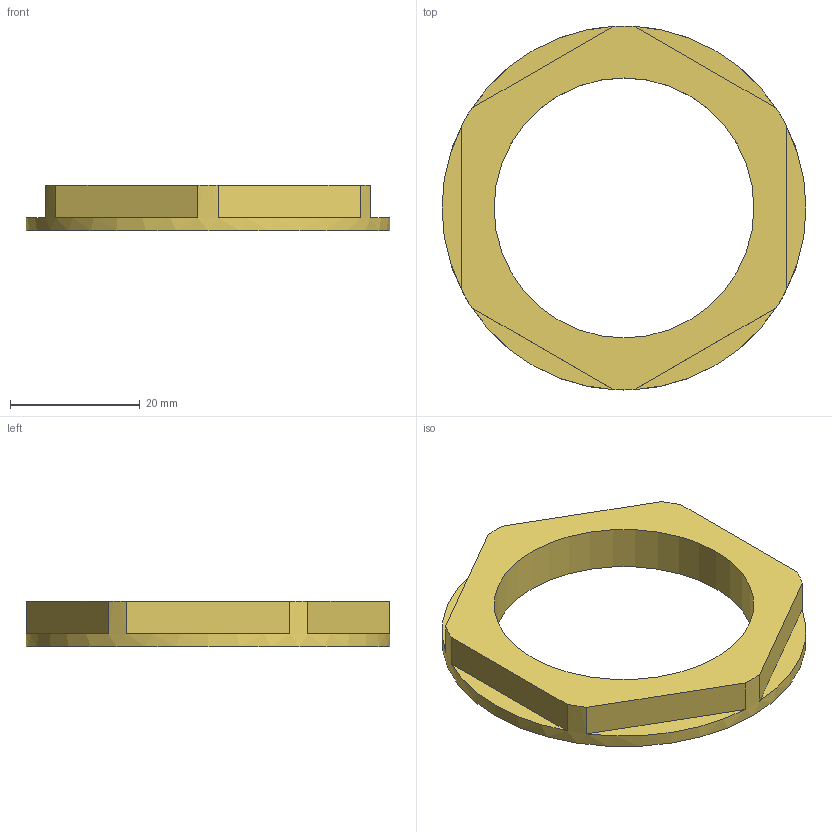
import cadquery as cq

OUTER_DIAMETER = 56.0
BORE_DIAMETER = 40.0
ACROSS_FLATS = 50.0
FLANGE_THICKNESS = 2.0
HEX_HEIGHT = 5.0

HEX_SIDES = 6
FLAT_ANGLE = 360.0 / HEX_SIDES
TOTAL_HEIGHT = FLANGE_THICKNESS + HEX_HEIGHT


def ring_blank():
    """Full-height round ring standing on the XY plane."""
    return (
        cq.Workplane("XY")
        .circle(OUTER_DIAMETER / 2)
        .circle(BORE_DIAMETER / 2)
        .extrude(TOTAL_HEIGHT)
    )


def flat_cutter(angle):
    """Block that removes the round segment outside one wrench flat, above the flange."""
    return (
        cq.Workplane("XY")
        .box(OUTER_DIAMETER, OUTER_DIAMETER, HEX_HEIGHT, centered=(False, True, False))
        .translate((ACROSS_FLATS / 2, 0, FLANGE_THICKNESS))
        .rotate((0, 0, 0), (0, 0, 1), angle)
    )


result = ring_blank()
for side in range(HEX_SIDES):
    result = result.cut(flat_cutter(side * FLAT_ANGLE))